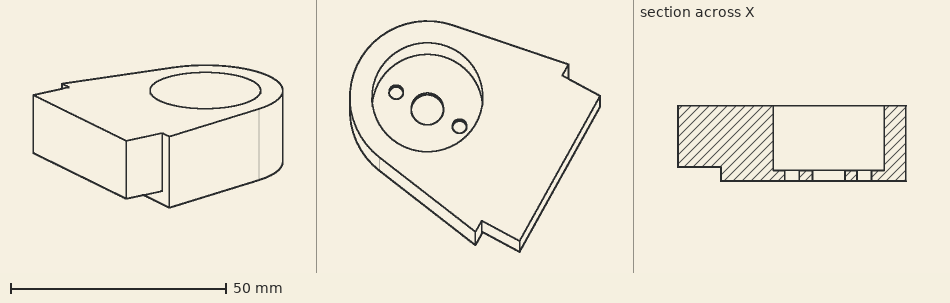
import math

import cadquery as cq

bottom_z = 0.0
height = 17.5
end_radius = 18.0
shoulder_width = 45.0
shoulder_distance = 25.0

tongue_width = 39.0
tongue_length = 10.0
tongue_height = 14.25

pocket_diameter = 25.7
floor_thickness = 2.5
center_hole_diameter = 7.5
screw_hole_diameter = 3.3
back_screw_hole_y = 8.25
front_screw_hole_y = -8.5


def make_body():
    """Block whose straight flanks run tangent into the rounded end."""
    half_width = shoulder_width / 2
    corner_distance = math.hypot(half_width, shoulder_distance)
    corner_angle = math.atan2(-shoulder_distance, half_width)
    tangent_angle = corner_angle + math.acos(end_radius / corner_distance)
    tangent_x = end_radius * math.cos(tangent_angle)
    tangent_y = end_radius * math.sin(tangent_angle)
    return (
        cq.Workplane("XY")
        .moveTo(-half_width, -shoulder_distance)
        .lineTo(half_width, -shoulder_distance)
        .lineTo(tangent_x, tangent_y)
        .threePointArc((0, end_radius), (-tangent_x, tangent_y))
        .close()
        .extrude(height)
    )


def make_tongue():
    """Rectangular tongue projecting from the shoulder."""
    return (
        cq.Workplane("XY")
        .workplane(offset=height - tongue_height)
        .center(0, -shoulder_distance - tongue_length / 2)
        .rect(tongue_width, tongue_length)
        .extrude(tongue_height)
    )


def make_cylinder(diameter, base_z, y=0.0):
    """Vertical cutter from base_z up to the top face, centered on X = 0."""
    return (
        cq.Workplane("XY")
        .workplane(offset=base_z)
        .center(0, y)
        .circle(diameter / 2)
        .extrude(height - base_z)
    )


result = make_body().union(make_tongue())
result = result.cut(make_cylinder(pocket_diameter, floor_thickness))
result = result.cut(make_cylinder(center_hole_diameter, bottom_z))
for screw_hole_y in (back_screw_hole_y, front_screw_hole_y):
    result = result.cut(make_cylinder(screw_hole_diameter, bottom_z, screw_hole_y))